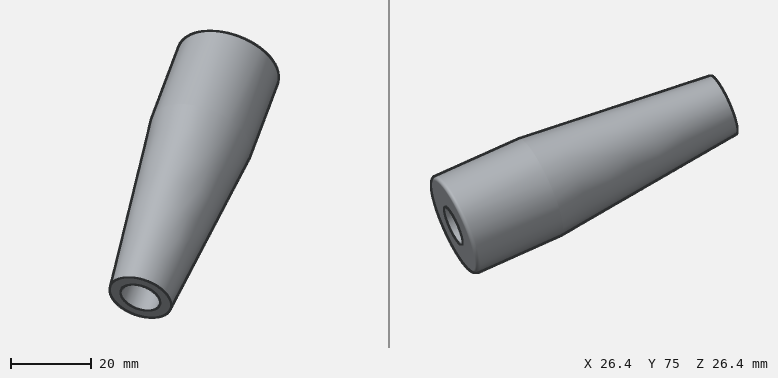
import cadquery as cq

total_length = 75.0
body_diameter = 26.4
tip_diameter = 16.05
bore_diameter = 10.3
body_length = 24.0
edge_radius = 1.0

body_radius = body_diameter / 2
tip_radius = tip_diameter / 2
front_y = -total_length / 2
back_y = total_length / 2
shoulder_y = back_y - body_length

half_section = (
    cq.Workplane("XY")
    .moveTo(0, front_y)
    .lineTo(tip_radius, front_y)
    .lineTo(body_radius, shoulder_y)
    .lineTo(body_radius, back_y)
    .lineTo(0, back_y)
    .close()
)
nozzle = half_section.revolve(360, (0, 0, 0), (0, 1, 0))

nozzle = nozzle.faces(">Y").edges().fillet(edge_radius)

result = nozzle.faces("<Y").workplane(centerOption="CenterOfMass").hole(bore_diameter)